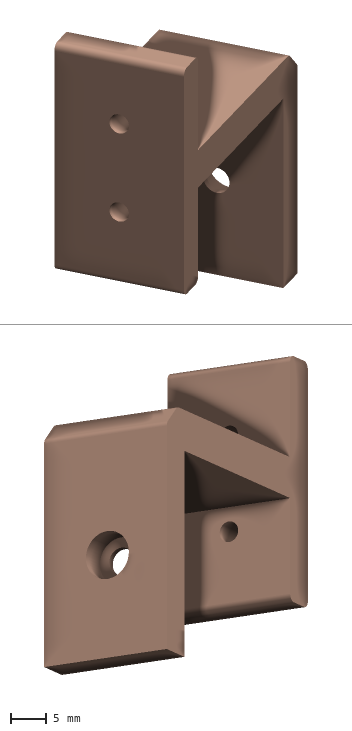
import cadquery as cq

width = 20.0
depth = 40.0
height = 51.1

wall = 5.0
web_thickness = 6.0
plate_height = 35.95
edge_radius = 1.0
bevel = 3.0

plate_hole_diameter = 3.0
plate_hole_spacing = 14.0
plate_hole_rise = 0.4

leg_hole_diameter = 4.0
leg_hole_height = 15.0
leg_hole_shift = -0.3
counterbore_diameter = 7.0
leg_hole_land = 1.0

plate_middle = height - plate_height / 2
web_bottom = plate_middle - web_thickness / 2
web_top = plate_middle + web_thickness / 2
leg_front = depth - wall


def slab(y_start, y_end, z_start, z_end):
    """Full-width block between the given Y and Z limits, centred on X = 0."""
    return cq.Workplane("XY").box(
        width, y_end - y_start, z_end - z_start, centered=(True, False, False)
    ).translate((0, y_start, z_start))


def bore(diameter, x, z, y_start, y_end):
    """Cylinder along Y used to cut a round hole."""
    circle = cq.Workplane("XZ", origin=(x, y_start, z)).circle(diameter / 2)
    return circle.extrude(y_start - y_end)


plate = slab(0, wall, height - plate_height, height).edges("|X").fillet(edge_radius)

leg = slab(leg_front, depth, 0, web_top)
web = slab(wall / 2, depth, web_bottom, web_top)
hook = web.union(leg).clean()
hook = hook.edges("|X and >Y and >Z").chamfer(bevel)
bevel_ends = cq.selectors.BoxSelector(
    (-width, depth - 1.1 * bevel, web_top - 1.1 * bevel),
    (width, depth + bevel, web_top + bevel),
)
hook = hook.edges("|X").edges(bevel_ends).fillet(edge_radius)

result = plate.union(hook)

for side in (-1, 1):
    hole_z = plate_middle + plate_hole_rise + side * plate_hole_spacing / 2
    result = result.cut(bore(plate_hole_diameter, 0, hole_z, 0, wall))

result = result.cut(bore(leg_hole_diameter, leg_hole_shift, leg_hole_height, leg_front, depth))
result = result.cut(
    bore(counterbore_diameter, leg_hole_shift, leg_hole_height, leg_front + leg_hole_land, depth)
)